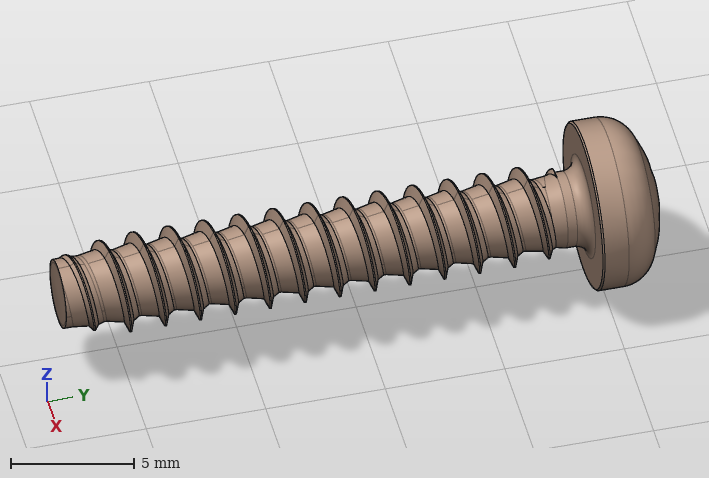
import cadquery as cq
import math


head_radius = 3.5
dome_radius = 5.7
dome_apex = 3.06
shoulder_radius = 1.45
seat_chamfer = 0.07

recess_width = 0.8
recess_depth = 1.8
recess_mouth_y = 2.76
recess_mouth_reach = 1.82
recess_floor_reach = 0.9

shank_length = 22.0
neck_radius = 1.56
neck_fillet = 0.6
neck_end_y = -1.0
core_radius = 1.42
core_start_y = -1.6
tip_cone_radius = 1.3
tip_cone_height = 0.05

pitch = 1.46
crest_radius = 2.0
crest_half_width = 0.03
flank_root_radius = 1.57
flank_root_half_width = 0.2
head_side_base = 0.47
tip_side_base = 0.95
buried_radius = core_radius - 0.01

thread_start_y = -0.82
thread_turns = 14.3
run_in_turns = 1.0
run_in_start_height = 0.45
run_out_turns = 1.5
run_out_end_height = 0.1
points_per_turn = 16


def make_head():
    """Pan head: rim, tangent shoulder arc and shallow dome, turned about Y."""
    dome_center_y = dome_apex - dome_radius
    shoulder_x = head_radius - shoulder_radius
    center_distance = dome_radius - shoulder_radius
    shoulder_y = dome_center_y + math.sqrt(center_distance**2 - shoulder_x**2)

    tangent_angle = math.asin(shoulder_x / center_distance)

    def on_dome(angle):
        return (dome_radius * math.sin(angle), dome_center_y + dome_radius * math.cos(angle))

    shoulder_angle = (tangent_angle + math.pi / 2) / 2
    shoulder_middle = (
        shoulder_x + shoulder_radius * math.sin(shoulder_angle),
        shoulder_y + shoulder_radius * math.cos(shoulder_angle),
    )
    outline = (
        cq.Workplane("XY")
        .lineTo(head_radius - seat_chamfer, 0)
        .lineTo(head_radius, seat_chamfer)
        .lineTo(head_radius, shoulder_y)
        .threePointArc(shoulder_middle, on_dome(tangent_angle))
        .threePointArc(on_dome(tangent_angle / 2), (0, dome_apex))
        .close()
    )
    return outline.revolve(360, (0, 0), (0, 1))


def make_recess():
    """Two equal wings at right angles, with sloping ends and a flat floor."""
    floor_y = dome_apex - recess_depth
    end_slope = (recess_mouth_reach - recess_floor_reach) / (recess_mouth_y - floor_y)
    top_y = dome_apex + recess_width
    top_reach = recess_floor_reach + end_slope * (top_y - floor_y)
    wing = (
        cq.Workplane("XY")
        .polyline(
            [
                (-top_reach, top_y),
                (-recess_floor_reach, floor_y),
                (recess_floor_reach, floor_y),
                (top_reach, top_y),
            ]
        )
        .close()
        .extrude(recess_width / 2, both=True)
    )
    return wing.union(wing.rotate((0, 0, 0), (0, 1, 0), 90))


def make_shank():
    """Filleted neck, short taper, plain core and a very flat conical tip."""
    fillet_middle = neck_fillet * (1 - math.cos(math.pi / 4))
    outline = (
        cq.Workplane("XY")
        .lineTo(neck_radius + neck_fillet, 0)
        .threePointArc(
            (neck_radius + fillet_middle, -fillet_middle),
            (neck_radius, -neck_fillet),
        )
        .lineTo(neck_radius, neck_end_y)
        .lineTo(core_radius, core_start_y)
        .lineTo(core_radius, tip_cone_height - shank_length)
        .lineTo(tip_cone_radius, tip_cone_height - shank_length)
        .lineTo(0, -shank_length)
        .close()
    )
    return outline.revolve(360, (0, 0), (0, 1))


def thread_height_factor(turn):
    """Share of the full profile height: 1 along the shank, less in the run-in and run-out."""
    run_in = run_in_start_height + (1 - run_in_start_height) * turn / run_in_turns
    turns_left = thread_turns - turn
    run_out = run_out_end_height + (1 - run_out_end_height) * turns_left / run_out_turns
    return min(1, run_in, run_out)


def thread_edge(radius, offset, first_turn, last_turn):
    """Helical edge that one corner of the thread profile follows between two turns."""
    steps = math.ceil((last_turn - first_turn) * points_per_turn)
    turns = [first_turn + (last_turn - first_turn) * step / steps for step in range(steps + 1)]
    points = []
    slopes = []
    for turn in turns:
        angle = 2 * math.pi * turn
        local_radius = buried_radius + (radius - buried_radius) * thread_height_factor(turn)
        across = local_radius * math.cos(angle)
        along = -local_radius * math.sin(angle)
        points.append(cq.Vector(along, thread_start_y - pitch * turn + offset, across))
        slopes.append(cq.Vector(-2 * math.pi * across, -pitch, 2 * math.pi * along))

    ends = [slopes[0], slopes[-1]]
    return cq.Edge.makeSpline(points, tangents=ends, parameters=turns, scale=False)


def make_thread():
    """Ridge with a steep crest and a long shallow root, bounded by ruled helical faces."""
    profile = [
        (buried_radius, head_side_base),
        (flank_root_radius, flank_root_half_width),
        (crest_radius, crest_half_width),
        (crest_radius, -crest_half_width),
        (flank_root_radius, -flank_root_half_width),
        (buried_radius, -tip_side_base),
    ]
    breaks = [*range(math.ceil(thread_turns)), thread_turns]
    faces = []
    end_corners = []
    for first_turn, last_turn in zip(breaks, breaks[1:]):
        edges = [thread_edge(radius, offset, first_turn, last_turn) for radius, offset in profile]
        for edge, next_edge in zip(edges, edges[1:] + edges[:1]):
            faces.append(cq.Face.makeRuledSurface(edge, next_edge))
        if first_turn == breaks[0]:
            end_corners.append([edge.startPoint() for edge in edges])
        if last_turn == breaks[-1]:
            end_corners.append([edge.endPoint() for edge in edges])
    for corners in end_corners:
        faces.append(cq.Face.makeFromWires(cq.Wire.makePolygon(corners, close=True)))
    ridge = cq.Solid.makeSolid(cq.Shell.makeShell(faces))

    threaded_length = shank_length - tip_cone_height + neck_end_y
    envelope = (
        cq.Workplane("XZ", origin=(0, neck_end_y, 0))
        .circle(head_radius)
        .extrude(threaded_length)
    )
    return envelope.intersect(cq.Workplane(ridge))


body = make_head().cut(make_recess()).union(make_shank())
result = body.union(make_thread()).solids()